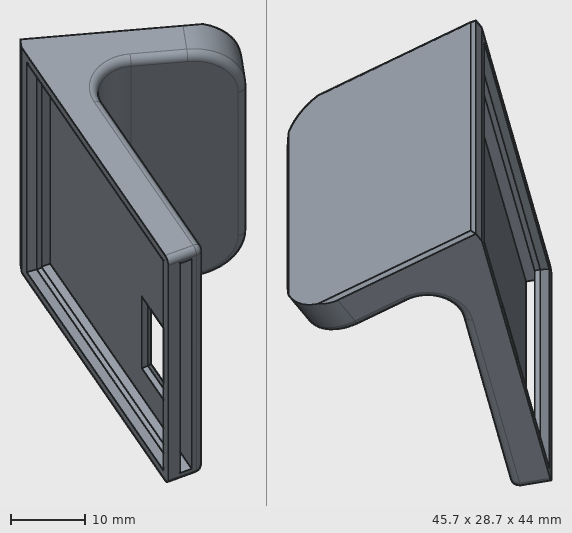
import cadquery as cq
import math

length = 45.7
height = 44.0
plate_thickness = 5.4

lean_angle = 20.0
wall_thickness = 6.0
wall_length = 30.0
wall_overhang = 2.0
wall_corner_radius = 8.0
wall_chamfer = 0.5
inner_corner_radius = 5.0

plate_corner_radius = 1.0
back_edge_radius = 1.2

opening_margin = 1.5
opening_bevel = 1.0
lip_depth = 1.8
slot_depth = 1.75
slot_undercut = 1.0

window_width = 10.0
window_height = 14.0
window_side_gap = 5.0
window_bottom_gap = 7.05

lean = math.radians(lean_angle)
hinge_x = wall_overhang * math.cos(lean) - wall_chamfer * math.sin(lean)
slot_floor = lip_depth + slot_depth


def wall_point(across, along):
    """XY point measured from the wall's outer front corner."""
    from_hinge = across - wall_overhang
    return (
        hinge_x + from_hinge * math.cos(lean) + along * math.sin(lean),
        -from_hinge * math.sin(lean) + along * math.cos(lean),
    )


def box(x_range, y_range, z_range):
    """Box spanning the given ranges."""
    spans = (x_range, y_range, z_range)
    sizes = [high - low for low, high in spans]
    return cq.Workplane("XY").box(*sizes, centered=False).translate([low for low, _ in spans])


def frustum(x_range, z_range, y_near, y_far, growth):
    """Rectangular cut whose sides move outward by growth from y_near to y_far."""
    width = x_range[1] - x_range[0]
    tall = z_range[1] - z_range[0]
    center = (sum(x_range) / 2, y_near, sum(z_range) / 2)
    return (
        cq.Workplane("XZ", origin=center)
        .rect(width, tall)
        .workplane(offset=y_near - y_far)
        .rect(width + 2 * growth, tall + 2 * growth)
        .loft(ruled=True)
    )


def nearest(x, y, z):
    """Selector for the edge or face centred nearest to a point."""
    return cq.selectors.NearestToPointSelector((x, y, z))


inner_start = wall_point(wall_thickness, 0)
inner_corner = (
    inner_start[0] + (plate_thickness - inner_start[1]) * math.tan(lean),
    plate_thickness,
)
body = (
    cq.Workplane("XY")
    .polyline([
        (hinge_x, 0),
        (length, 0),
        (length, plate_thickness),
        inner_corner,
        wall_point(wall_thickness, wall_length),
        wall_point(0, wall_length),
        wall_point(0, 0),
    ])
    .close()
    .extrude(height)
)

outer_middle = wall_point(0, wall_length / 2)
body = body.faces(nearest(*outer_middle, height / 2)).edges().chamfer(wall_chamfer)

wall_plane = cq.Plane(
    origin=(*wall_point(0, 0), 0),
    xDir=(math.sin(lean), math.cos(lean), 0),
    normal=(math.cos(lean), -math.sin(lean), 0),
)
end_block = (
    cq.Workplane(wall_plane)
    .center(wall_length - wall_corner_radius / 2, height / 2)
    .rect(wall_corner_radius, height)
    .extrude(wall_thickness)
)
rounded_wall = (
    cq.Workplane(wall_plane)
    .center(wall_length / 2, height / 2)
    .rect(wall_length, height)
    .extrude(wall_thickness)
    .edges(nearest(*wall_point(wall_thickness / 2, wall_length), 0))
    .fillet(wall_corner_radius)
    .edges(nearest(*wall_point(wall_thickness / 2, wall_length), height))
    .fillet(wall_corner_radius)
)
body = body.cut(end_block.cut(rounded_wall))

for z in (0, height):
    body = body.edges(nearest(length, plate_thickness / 2, z)).fillet(plate_corner_radius)

body = body.edges(nearest(*inner_corner, height / 2)).fillet(inner_corner_radius)

body = body.edges(nearest(length, plate_thickness, height / 2)).fillet(back_edge_radius)

opening_x = (hinge_x + opening_margin, length - opening_margin)
opening_z = (opening_margin, height - opening_margin)
lip_x = (opening_x[0] + opening_bevel, opening_x[1] - opening_bevel)
lip_z = (opening_z[0] + opening_bevel, opening_z[1] - opening_bevel)
body = body.cut(frustum(opening_x, opening_z, 0, opening_bevel, -opening_bevel))
body = body.cut(box(lip_x, (0, slot_floor), lip_z))

slot_x = (lip_x[0] - slot_undercut, length)
slot_z = (lip_z[0] - slot_undercut, lip_z[1] + slot_undercut)
body = body.cut(box(slot_x, (lip_depth, slot_floor), slot_z))

window_x = (length - window_side_gap - window_width, length - window_side_gap)
window_z = (window_bottom_gap, window_bottom_gap + window_height)
flare_start = (slot_floor + plate_thickness) / 2
flare = plate_thickness - flare_start
body = body.cut(box(window_x, (slot_floor, flare_start), window_z))
body = body.cut(frustum(window_x, window_z, flare_start, plate_thickness, flare))

result = body